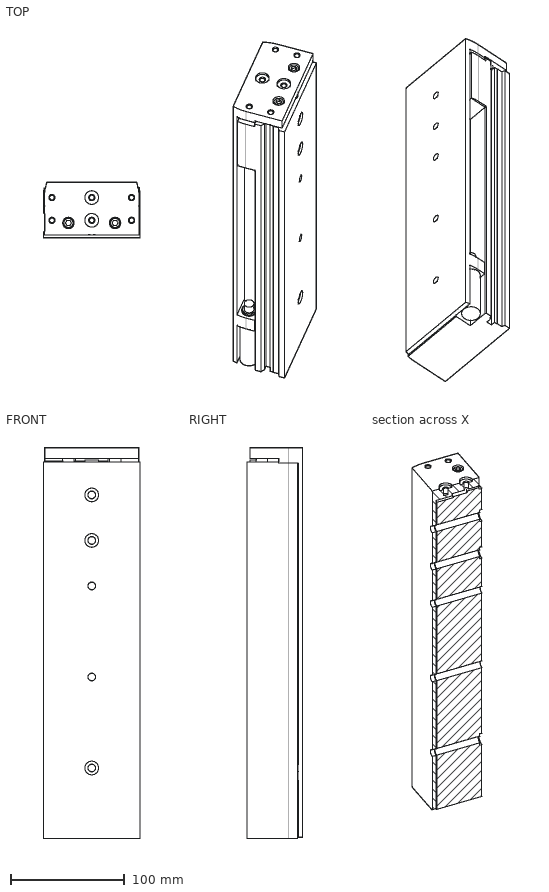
import cadquery as cq
import math


total_length = 343.6
total_depth = 49.0

housing_width = 85.0
housing_height = 331.0
housing_depth = 44.5
side_back = 44.0
housing_half = housing_width / 2
rounding_start = 36.5
slide_side_radius = 40.0
side_offset = 1.0
housing_side_radius = slide_side_radius + side_offset

front_flange = 5.4
flange_slope_end = 6.5
recess_depth = 2.9
land_start = 11.6
land_depth = 3.3
slot_start = 14.7
slot_end = 19.9
slot_depth = 7.5
guide_slope_end = 22.0

pocket_front = 28.0
pocket_wall = -22.0
pocket_top = 267.8
pocket_chamfer = 1.0
pocket_top_chamfer = 0.9
stop_face_height = 330.0
stop_ledge_height = 327.6
stop_ledge_wall = -38.0

cap_diameter = 12.0
cap_height = 1.8
cap_y = 8.6

slide_half = housing_half - side_offset
yoke_thickness = 9.6
yoke_front = 2.7
yoke_bottom = total_length - yoke_thickness
slab_front = 45.0
slab_bottom = 1.0
lip_bottom = 331.7
lip_recess_half = 14.5
lip_recess_depth = 1.0

carrier_bottom = 51.2
carrier_top = 65.8
carrier_clearance = 0.4
carrier_front = pocket_front + carrier_clearance
carrier_wall = pocket_wall - carrier_clearance

mount_hole_diameter = 6.65
slide_hole_diameter = 6.5
mount_counterbore_diameter = 12.0
mount_counterbore_depth = 2.0
counterbored_heights = [62.0, 262.0, 302.0]
plain_heights = [142.0, 222.0]

thread_diameter = 4.13
thread_chamfer_diameter = 5.5
thread_floor = 1.0
yoke_hole_rows = [15.5, 35.5]
yoke_hole_columns = [-35.0, 0.0, 35.0]
centring_diameter = 12.0
centring_depth = 2.1

rod_diameter = 10.0
rod_x = 20.5
rod_y = 13.2
rod_bottom = 20.0
screw_neck_diameter = 5.6
screw_head_diameter = 8.0
screw_head_bottom = 337.6
screw_head_top = 342.6
screw_socket_corners = 5.2
screw_socket_depth = 2.5
screw_bore_diameter = 10.0

absorber_x = -32.5
absorber_y = rounding_start
absorber_diameter = 16.4
absorber_bottom = 1.0
absorber_shoulder = 50.2
absorber_neck_diameter = 13.0
absorber_neck_chamfer = 0.8
absorber_neck_top = 67.8
plunger_diameter = 8.5
plunger_top = 75.5
plunger_seat = 60.0


def box(x0, x1, y0, y1, z0, z1):
    """Box between two opposite corners."""
    return cq.Workplane("XY").box(x1 - x0, y1 - y0, z1 - z0, centered=False).translate((x0, y0, z0))


def cylinder(x, y, diameter, z0, z1):
    """Upright cylinder from z0 to z1."""
    return cq.Workplane("XY", origin=(x, y, z0)).circle(diameter / 2).extrude(z1 - z0)


def cross_hole(z, diameter, y0, y1):
    """Cylinder along Y on the centre line at height z."""
    return cq.Workplane("XZ", origin=(0, y0, z)).circle(diameter / 2).extrude(y0 - y1)


def countersink(x, y, mouth_diameter, diameter, top):
    """45 degree cone that chamfers the top edge of a vertical hole."""
    depth = (mouth_diameter - diameter) / 2
    return cq.Workplane("XY", origin=(x, y, top)).circle(mouth_diameter / 2).extrude(-depth, taper=45)


def rounded_edge(half_width, radius, y):
    """Half width of a side at depth y behind the start of its rounding."""
    return half_width - radius + math.sqrt(radius**2 - (y - rounding_start)**2)


def make_housing():
    arc_middle = (rounding_start + housing_depth) / 2
    back_half = rounded_edge(housing_half, housing_side_radius, housing_depth)
    middle_half = rounded_edge(housing_half, housing_side_radius, arc_middle)
    recess_x = -housing_half + recess_depth
    land_x = -housing_half + land_depth
    slot_floor = -housing_half + slot_depth
    body = (
        cq.Workplane("XY")
        .moveTo(-housing_half, 0)
        .lineTo(housing_half, 0)
        .lineTo(housing_half, rounding_start)
        .threePointArc((middle_half, arc_middle), (back_half, housing_depth))
        .lineTo(-back_half, housing_depth)
        .threePointArc((-middle_half, arc_middle), (-housing_half, rounding_start))
        .lineTo(-housing_half, guide_slope_end)
        .lineTo(land_x, slot_end)
        .lineTo(slot_floor, slot_end)
        .lineTo(slot_floor, slot_start)
        .lineTo(land_x, slot_start)
        .lineTo(land_x, land_start)
        .lineTo(recess_x, land_start)
        .lineTo(recess_x, flange_slope_end)
        .lineTo(-housing_half, front_flange)
        .close()
        .extrude(housing_height)
    )

    pocket = (
        cq.Workplane("XY")
        .moveTo(-housing_half, pocket_front - pocket_chamfer)
        .lineTo(-housing_half + pocket_chamfer, pocket_front)
        .lineTo(pocket_wall, pocket_front)
        .lineTo(pocket_wall, housing_depth)
        .lineTo(-housing_half, housing_depth)
        .close()
        .extrude(pocket_top)
    )
    body = body.cut(pocket)
    top_chamfer = (
        cq.Workplane("XZ", origin=(0, pocket_front, 0))
        .moveTo(-housing_half, pocket_top)
        .lineTo(-housing_half + pocket_top_chamfer, pocket_top)
        .lineTo(-housing_half, pocket_top + pocket_top_chamfer)
        .close()
        .extrude(pocket_front - housing_depth)
    )
    body = body.cut(top_chamfer)
    body = body.cut(box(-housing_half, pocket_wall, side_back, housing_depth, 0, housing_height))

    body = body.cut(box(-housing_half, housing_half, pocket_front, housing_depth,
                        stop_face_height, housing_height))
    body = body.cut(box(-housing_half, stop_ledge_wall, pocket_front, housing_depth,
                        stop_ledge_height, housing_height))

    body = body.union(cylinder(0, cap_y, cap_diameter, housing_height, housing_height + cap_height))

    for z in plain_heights + counterbored_heights:
        body = body.cut(cross_hole(z, mount_hole_diameter, 0, housing_depth))
    for z in counterbored_heights:
        body = body.cut(cross_hole(z, mount_counterbore_diameter, 0, mount_counterbore_depth))

    for x in (-rod_x, rod_x):
        body = body.cut(cylinder(x, rod_y, rod_diameter, rod_bottom, housing_height))
    return body


def slide_section(front, z0, z1):
    """Slice of the slide outline from Y = front to the back, with rounded back edges."""
    arc_middle = (rounding_start + total_depth) / 2
    back_half = rounded_edge(slide_half, slide_side_radius, total_depth)
    middle_half = rounded_edge(slide_half, slide_side_radius, arc_middle)
    outline = (
        cq.Workplane("XY", origin=(0, 0, z0))
        .moveTo(-slide_half, yoke_front)
        .lineTo(slide_half, yoke_front)
        .lineTo(slide_half, rounding_start)
        .threePointArc((middle_half, arc_middle), (back_half, total_depth))
        .lineTo(-back_half, total_depth)
        .threePointArc((-middle_half, arc_middle), (-slide_half, rounding_start))
        .close()
        .extrude(z1 - z0)
    )
    return outline.intersect(box(-slide_half, slide_half, front, total_depth, z0, z1))


def make_slide():
    yoke = slide_section(yoke_front, yoke_bottom, total_length)
    slab = slide_section(slab_front, slab_bottom, yoke_bottom)

    lip = slide_section(pocket_front, lip_bottom, yoke_bottom)
    lip = lip.cut(box(-lip_recess_half, lip_recess_half, pocket_front, pocket_front + lip_recess_depth,
                      lip_bottom, yoke_bottom))
    stop = slide_section(pocket_front, stop_face_height, lip_bottom)
    stop = stop.intersect(box(lip_recess_half, slide_half, pocket_front, total_depth,
                              stop_face_height, lip_bottom))

    carrier = slide_section(carrier_front, carrier_bottom, carrier_top)
    carrier = carrier.intersect(box(-slide_half, carrier_wall, carrier_front, total_depth,
                                    carrier_bottom, carrier_top))
    body = yoke.union(slab).union(lip).union(stop).union(carrier)
    body = body.cut(cylinder(absorber_x, absorber_y, absorber_neck_diameter, carrier_bottom, carrier_top))

    for z in plain_heights + counterbored_heights:
        body = body.cut(cross_hole(z, slide_hole_diameter, slab_front, total_depth))

    for x in yoke_hole_columns:
        for y in yoke_hole_rows:
            thread_top = total_length
            if x == 0:
                thread_top = total_length - centring_depth
                body = body.cut(cylinder(x, y, centring_diameter, thread_top, total_length))
            body = body.cut(cylinder(x, y, thread_diameter, yoke_bottom + thread_floor, thread_top))
            body = body.cut(countersink(x, y, thread_chamfer_diameter, thread_diameter, thread_top))

    for x in (-rod_x, rod_x):
        body = body.cut(cylinder(x, rod_y, screw_neck_diameter, yoke_bottom, total_length))
        body = body.cut(cylinder(x, rod_y, screw_bore_diameter, screw_head_bottom, total_length))
    return body


def make_piston_rod(x):
    """Piston rod with its screw end seated in the yoke."""
    rod = cylinder(x, rod_y, rod_diameter, rod_bottom, yoke_bottom)
    neck = cylinder(x, rod_y, screw_neck_diameter, yoke_bottom, screw_head_bottom)
    head = cylinder(x, rod_y, screw_head_diameter, screw_head_bottom, screw_head_top)
    socket = (
        cq.Workplane("XY", origin=(x, rod_y, screw_head_top))
        .polygon(6, screw_socket_corners)
        .extrude(-screw_socket_depth)
    )
    return rod.union(neck).union(head).cut(socket)


def make_plunger():
    return cylinder(absorber_x, absorber_y, plunger_diameter, plunger_seat, plunger_top)


def make_absorber():
    """Absorber barrel below the carrier with a neck through it."""
    barrel = cylinder(absorber_x, absorber_y, absorber_diameter, absorber_bottom, absorber_shoulder)
    neck = cylinder(absorber_x, absorber_y, absorber_neck_diameter, absorber_shoulder, absorber_neck_top)
    neck = neck.faces(">Z").edges().chamfer(absorber_neck_chamfer)
    return barrel.union(neck).cut(make_plunger())


housing = make_housing()
slide = make_slide()
piston_rods = [make_piston_rod(x) for x in (-rod_x, rod_x)]
absorber = make_absorber()
plunger = make_plunger()

result = cq.Compound.makeCompound([
    housing.val(),
    slide.val(),
    *[rod.val() for rod in piston_rods],
    absorber.val(),
    plunger.val(),
])